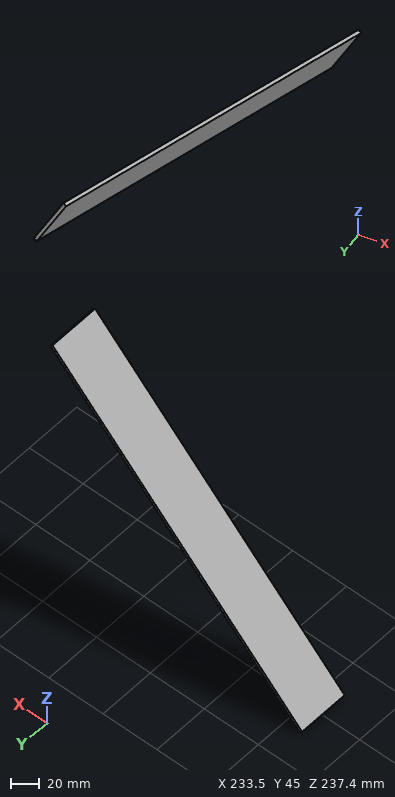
import cadquery as cq
import math

SPAN_X = 233.5
SPAN_Z = 237.4
WIDTH = 45.0
THICKNESS = 3.0

thickness_offset = THICKNESS * math.sqrt(0.5)
run = SPAN_X - thickness_offset
rise = SPAN_Z - thickness_offset
length = math.hypot(run, rise)
tilt = math.degrees(math.atan2(rise, run))

bar = cq.Workplane("XY").box(length, WIDTH, THICKNESS)

result = bar.rotate((0, 0, 0), (0, 1, 0), -tilt)